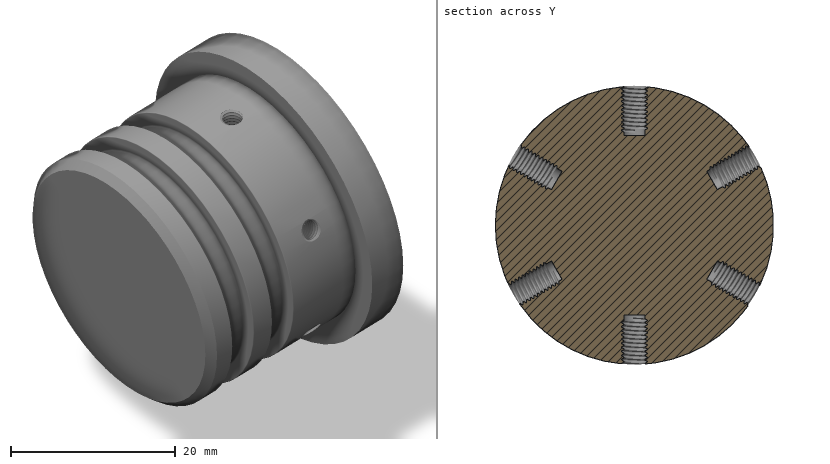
import cadquery as cq

flange_diameter = 40.0
flange_thickness = 5.0
body_diameter = 33.8
body_length = 23.3
nose_chamfer = 1.0
body_radius = body_diameter / 2

groove_floor_diameter = 30.0
groove_floor_radius = groove_floor_diameter / 2
groove_width = 3.4
groove_places = (10.0, 16.4)
groove_floor_fillet = 0.2
groove_rim_fillet = 0.1
match_tolerance = 0.005

hole_count = 6
hole_depth = 6.0
hole_from_flange = groove_places[0] / 2
thread_minor_diameter = 2.5
thread_major_diameter = 3.1
thread_pitch = 0.5
thread_mouth_width = 0.75 * thread_pitch
thread_root_width = thread_pitch / 8
thread_overlap = 0.05
thread_turns = round(hole_depth / thread_pitch)
thread_start_angle = 265


def disc(diameter, start, length):
    """Cylinder on the Y axis that runs from y = start toward -Y."""
    return cq.Workplane("XZ", origin=(0, start, 0)).circle(diameter / 2).extrude(length)


def edges_at_radius(part, radius, start, length):
    """Circular edges of the given radius on the two walls of a groove."""
    places = (start, start - length)
    edges = [
        edge
        for edge in part.edges("%CIRCLE").vals()
        if abs(edge.radius() - radius) < match_tolerance
        and min(abs(edge.Center().y - place) for place in places) < match_tolerance
    ]
    return part.newObject(edges)


def cut_groove(part, place):
    """Cut one ring groove, round its floor corners and break its rims."""
    ring = disc(flange_diameter, -place, groove_width)
    ring = ring.cut(disc(groove_floor_diameter, -place, groove_width))
    part = part.cut(ring)
    part = edges_at_radius(part, groove_floor_radius, -place, groove_width).fillet(groove_floor_fillet)
    return edges_at_radius(part, body_radius, -place, groove_width).fillet(groove_rim_fillet)


def thread_groove(start, length):
    """Solid helix of trapezoid section around Z that carves the thread into the hole wall."""
    minor_radius = thread_minor_diameter / 2
    major_radius = thread_major_diameter / 2
    flank_slope = (thread_mouth_width - thread_root_width) / 2 / (major_radius - minor_radius)
    inner_half_width = thread_mouth_width / 2 + thread_overlap * flank_slope
    outer_half_width = thread_root_width / 2
    section = [
        (minor_radius - thread_overlap, -inner_half_width),
        (major_radius, -outer_half_width),
        (major_radius, outer_half_width),
        (minor_radius - thread_overlap, inner_half_width),
    ]

    helices = [
        cq.Wire.makeHelix(thread_pitch, length, radius, cq.Vector(0, 0, start + offset))
        for radius, offset in section
    ]
    next_helices = helices[1:] + helices[:1]
    faces = [cq.Face.makeRuledSurface(one, other) for one, other in zip(helices, next_helices)]
    for end in (start, start + length):
        corners = [cq.Vector(radius, 0, end + offset) for radius, offset in section]
        faces.append(cq.Face.makeFromWires(cq.Wire.makePolygon(corners, close=True)))
    return cq.Workplane(cq.Solid.makeSolid(cq.Shell.makeShell(faces)))


def threaded_hole():
    """Cutter for one threaded hole that enters the body from the top, along Z."""
    floor = body_radius - hole_depth
    core_length = hole_depth + thread_pitch
    core = cq.Workplane("XY").circle(thread_minor_diameter / 2).extrude(core_length)
    groove = thread_groove(thread_pitch, thread_turns * thread_pitch)
    cutter = core.union(groove.rotate((0, 0, 0), (0, 0, 1), thread_start_angle))
    return cutter.translate((0, -hole_from_flange, floor))


result = disc(flange_diameter, flange_thickness, flange_thickness)
result = result.union(disc(body_diameter, 0, body_length))
result = result.faces("<Y").chamfer(nose_chamfer)

for groove_place in groove_places:
    result = cut_groove(result, groove_place)

hole_cutter = threaded_hole()
for index in range(hole_count):
    angle = index * 360 / hole_count
    result = result.cut(hole_cutter.rotate((0, 0, 0), (0, 1, 0), angle))